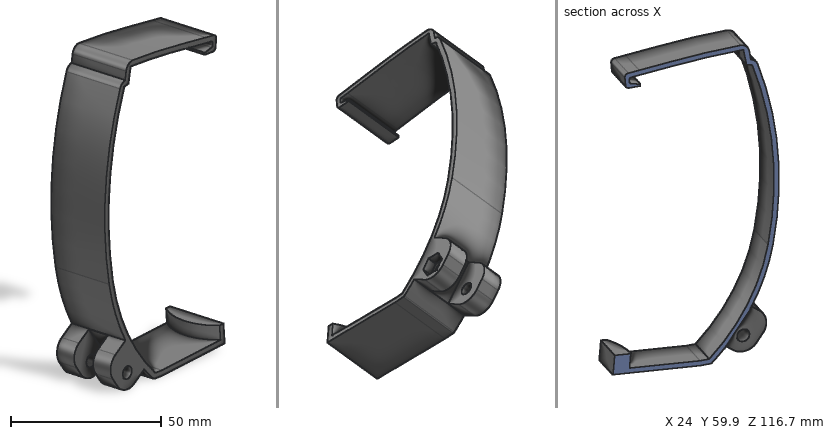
import cadquery as cq
import math


width = 24.0
thickness = 2.0
height = 116.74
depth = 59.94

upper_radius = 131.25
upper_center = (upper_radius, 64.15)
lower_radius = 72.5
blend_angle = 10.5
back_top_z = 108.4

floor_bend_y = 28.6
floor_angle = 4.75
floor_corner_radius = 0.7

lip_height = 7.3
lip_end_thickness = 2.0
lip_middle_thickness = 6.0

lid_angle = 5.0
lid_curve_end_y = 14.0
lid_inner_corner_y = 13.0
lid_curve_start = (50.5, 114.4)
step_wall_top = (10.7, 113.8)
step_wall_foot = (10.2, 110.7)
step_wall_inner_foot = (11.9, 109.0)

hook_end_y = 55.8
hook_bottom_z = 108.3
hook_tip_y = 50.0
hook_tip_thickness = 0.8
hook_tip_angle = 15.0
hook_wall = 1.9
hook_outer_radius = 1.4
hook_inner_radius = 0.7

lug_angle = 36.0
lug_gap = 8.5
lug_corner_radius = 6.0
lug_span = 16.0
lug_root = 6.0
lug_overlap = 1.0
bolt_center = (11.25, 6.1)
bolt_diameter = 4.5
nut_across_flats = 7.5
nut_depth = 3.5
nut_tilt = 4.0


def polar(center, radius, angle):
    """Point of a back arc: angle degrees below the horizontal, on the side facing -Y."""
    turn = math.radians(angle)
    return (center[0] - radius * math.cos(turn), center[1] - radius * math.sin(turn))


def angle_at_z(center, radius, z):
    return math.degrees(math.asin((center[1] - z) / radius))


def floor_end_height():
    """Height of the floor's underside at its free end."""
    return (depth - floor_bend_y) * math.tan(math.radians(floor_angle))


def fillet_at(body, point, radius):
    """Round the edge along X that passes through a profile point."""
    edge = body.edges("|X").edges(cq.selectors.NearestToPointSelector((0, *point)))
    return edge.fillet(radius)


def extrude_across(profile, size=width):
    """Extrude a YZ profile along X and centre the solid on the X = 0 plane."""
    body = profile.extrude(size)
    center_x = body.val().BoundingBox().center.x
    return body.translate((-center_x, 0, 0))


def make_strap():
    lower_center = polar(upper_center, upper_radius - lower_radius, blend_angle)
    inner_upper = upper_radius - thickness
    inner_lower = lower_radius - thickness

    floor_slope = math.tan(math.radians(floor_angle))
    floor_end_z = floor_end_height()
    floor_inner_end = depth - thickness * floor_slope

    lid_slope = math.tan(math.radians(lid_angle))
    curve_y, curve_z = lid_curve_start
    hook_top = (hook_end_y, curve_z - (hook_end_y - curve_y) * lid_slope)
    hook_foot = (hook_end_y - (hook_top[1] - hook_bottom_z) * lid_slope, hook_bottom_z)
    hook_inner_y = hook_end_y - hook_wall
    hook_inner_top = (hook_inner_y, hook_top[1] + hook_wall * lid_slope - thickness)
    tip_top = (hook_tip_y, hook_bottom_z + hook_tip_thickness)
    tip_rise = (hook_inner_y - hook_tip_y) * math.tan(math.radians(hook_tip_angle))
    hook_inner_foot = (hook_inner_y, tip_top[1] + tip_rise)

    lid_inner_corner = (lid_inner_corner_y, height - thickness)

    outer_top = angle_at_z(upper_center, upper_radius, back_top_z)
    outer_foot_angle = angle_at_z(lower_center, lower_radius, 0)
    outer_foot = polar(lower_center, lower_radius, outer_foot_angle)
    inner_top = angle_at_z(upper_center, inner_upper, back_top_z)
    inner_foot_angle = angle_at_z(lower_center, inner_lower, thickness)

    profile = (
        cq.Workplane("YZ")
        .moveTo(depth, floor_end_z)
        .lineTo(floor_bend_y, 0)
        .lineTo(*outer_foot)
        .threePointArc(
            polar(lower_center, lower_radius, (outer_foot_angle + blend_angle) / 2),
            polar(lower_center, lower_radius, blend_angle),
        )
        .threePointArc(
            polar(upper_center, upper_radius, (blend_angle + outer_top) / 2),
            polar(upper_center, upper_radius, outer_top),
        )
        .tangentArcPoint(step_wall_foot, relative=False)
        .lineTo(*step_wall_top)
        .tangentArcPoint((lid_curve_end_y, height), relative=False)
        .spline([lid_curve_start], tangents=[(1, 0), (1, -lid_slope)], includeCurrent=True)
        .lineTo(*hook_top)
        .lineTo(*hook_foot)
        .lineTo(hook_tip_y, hook_bottom_z)
        .lineTo(*tip_top)
        .lineTo(*hook_inner_foot)
        .lineTo(*hook_inner_top)
        .lineTo(curve_y, curve_z - thickness)
        .spline([lid_inner_corner], tangents=[(-1, lid_slope), (-1, 0)], includeCurrent=True)
        .lineTo(*step_wall_inner_foot)
        .lineTo(*polar(upper_center, inner_upper, inner_top))
        .threePointArc(
            polar(upper_center, inner_upper, (blend_angle + inner_top) / 2),
            polar(upper_center, inner_upper, blend_angle),
        )
        .threePointArc(
            polar(lower_center, inner_lower, (blend_angle + inner_foot_angle) / 2),
            polar(lower_center, inner_lower, inner_foot_angle),
        )
        .lineTo(floor_bend_y, thickness)
        .lineTo(floor_inner_end, floor_end_z + thickness)
        .close()
    )
    strap = extrude_across(profile)
    strap = fillet_at(strap, outer_foot, floor_corner_radius)
    strap = fillet_at(strap, hook_top, hook_outer_radius)
    strap = fillet_at(strap, hook_foot, hook_outer_radius)
    strap = fillet_at(strap, hook_inner_top, hook_inner_radius)
    return fillet_at(strap, hook_inner_foot, hook_inner_radius)


def make_lip():
    """Crescent seen from above, built level at the floor's end and then tilted with the floor."""
    half = width / 2
    hinge = (0, depth, floor_end_height())
    lip = (
        cq.Workplane("XY", origin=hinge)
        .moveTo(-half, 0)
        .lineTo(-half, -lip_end_thickness)
        .threePointArc((0, -lip_middle_thickness), (half, -lip_end_thickness))
        .lineTo(half, 0)
        .close()
        .extrude(lip_height)
    )
    hinge_along_x = (1, *hinge[1:])
    return lip.rotate(hinge, hinge_along_x, floor_angle)


def lug_plane(x=0.0):
    """Plane facing -X at the bolt axis: local x points out along the lugs, local y up along their end."""
    lean = math.radians(lug_angle)
    out = (0, -math.cos(lean), -math.sin(lean))
    return cq.Workplane(cq.Plane(origin=(x, *bolt_center), xDir=out, normal=(-1, 0, 0)))


def add_lugs(body):
    radius = lug_corner_radius
    top = lug_span - radius
    root = -lug_root - lug_overlap
    block = (
        lug_plane()
        .moveTo(root, -radius)
        .lineTo(0, -radius)
        .radiusArc((radius, 0), -radius)
        .lineTo(radius, top - radius)
        .radiusArc((0, top), -radius)
        .lineTo(root, top)
        .close()
    )
    return body.union(extrude_across(block))


def cut_lug_gap(body):
    """Part the lugs, down to a flat floor at their root."""
    gap_length = lug_root + lug_corner_radius
    middle = (lug_corner_radius - lug_root) / 2, lug_span / 2 - lug_corner_radius
    gap = lug_plane().center(*middle).rect(gap_length, lug_span)
    return body.cut(extrude_across(gap, lug_gap))


def cut_bolt_hole(body):
    """Bolt hole through both lugs, with a nut pocket in the -X face."""
    hole = lug_plane().circle(bolt_diameter / 2)
    across_corners = nut_across_flats / math.cos(math.pi / 6)
    nut = (
        lug_plane(-width / 2)
        .transformed(rotate=(0, 0, lug_angle - nut_tilt))
        .polygon(6, across_corners)
        .extrude(-nut_depth)
    )
    return body.cut(extrude_across(hole)).cut(nut)


result = make_strap().union(make_lip())
result = add_lugs(result)
result = cut_lug_gap(result)
result = cut_bolt_hole(result)